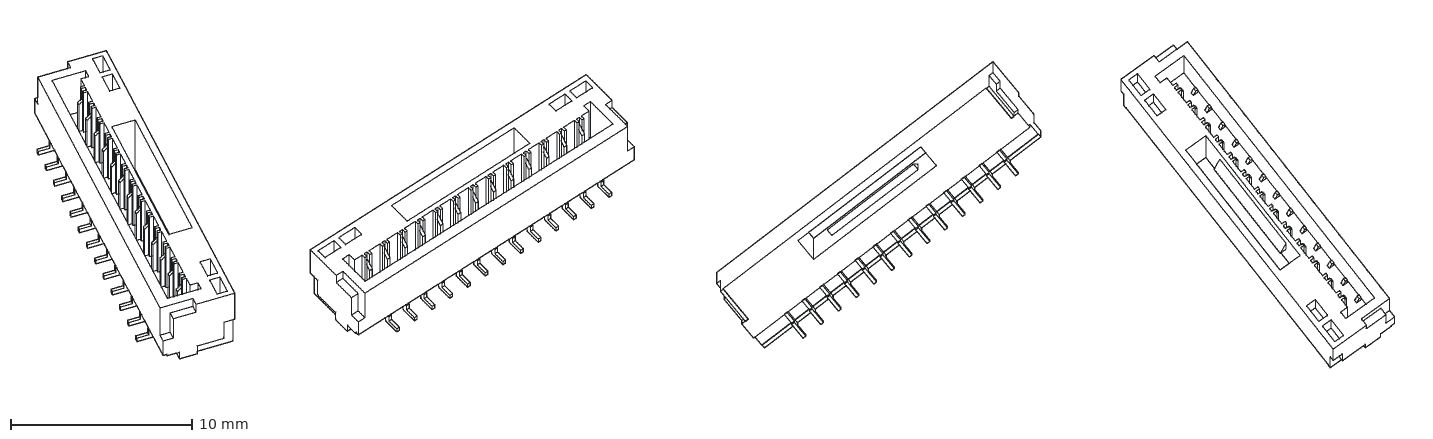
import cadquery as cq

length = 19.5
depth = 4.25
top = 4.2
standoff = 0.12
half_length = length / 2

relief_depth = 0.98
relief_top = 0.66
lip_depth = 0.23
lip_top = 0.78

cavity_floor = 0.98
end_wall = 1.0
front_wall = 0.65
cavity_back = 2.16
key_width = 0.47
key_back = 2.63

window_width = 8.65
window_front = 2.45
window_back = 3.85
catch_width = 6.08
catch_depth = 0.4
catch_top = 3.12
catch_height = 1.07

pocket_width = 1.13
pocket_depth_y = 0.6
pocket_back = 3.92
pocket_drop = 1.56
pocket_offset = 0.3
pocket_pitch = 1.46

notch_depth = 0.47
upper_notch_back = 1.95
upper_notch_floor = 3.55
upper_notch_leg = 0.6
upper_notch_bottom = 1.97
lower_notch_front = 2.03
lower_notch_ceiling = 0.76
lower_notch_leg = 0.65
lower_notch_top = 2.07
tab_thickness = 0.2

pin_count = 13
pin_row_length = 15.0
pin_pitch = pin_row_length / (pin_count - 1)
pin_width = 0.2
foot_reach = 0.7
foot_height = 0.3
foot_heel = 0.31
shank_bottom = 0.25
shank_embed = 0.2
post_depth = 0.47
post_top = 3.55
post_chamfer = 0.4
stub_clearance = 0.05
stub_depth = 0.31
stub_height = 0.45
stub_ramp = 0.18

tooth_pair_width = 0.49
tooth_depth = 0.23


def box(x_range, y_range, z_range):
    """Axis-aligned box between the given limits."""
    (x0, x1), (y0, y1), (z0, z1) = x_range, y_range, z_range
    return cq.Workplane("XY").box(x1 - x0, y1 - y0, z1 - z0, centered=False).translate((x0, y0, z0))


def centered_box(x_center, width, y_range, z_range):
    """Axis-aligned box centered on x_center along X."""
    return box((x_center - width / 2, x_center + width / 2), y_range, z_range)


def side_profile(points, x_start, width):
    """Extrude a closed (Y, Z) outline along +X from x_start."""
    return cq.Workplane("YZ").polyline(points).close().extrude(width).translate((x_start, 0, 0))


def both_ends(solid):
    """The solid together with its mirror image at the other end."""
    return solid.union(solid.mirror("YZ"))


def make_block():
    """Housing block with the stepped relief along its lower front edge."""
    outline = [
        (0, lip_top),
        (lip_depth, lip_top),
        (lip_depth, relief_top),
        (relief_depth, relief_top),
        (relief_depth, standoff),
        (depth, standoff),
        (depth, top),
        (0, top),
    ]
    return side_profile(outline, -half_length, length)


def make_cavity():
    """Mating cavity with a keyway at each end of its back wall."""
    height = (cavity_floor, top)
    cavity_end = -half_length + end_wall
    main = centered_box(0, length - 2 * end_wall, (front_wall, cavity_back), height)
    keyway = box((cavity_end, cavity_end + key_width), (front_wall, key_back), height)
    return main.union(both_ends(keyway))


def make_window():
    """Through window for the latch, less the catch: a steep ramp widening downward."""
    opening = centered_box(0, window_width, (window_front, window_back), (0, top))
    ramp = [
        (window_front, catch_top),
        (window_front + catch_depth, catch_top - catch_height),
        (window_front, catch_top - catch_height),
    ]
    catch = side_profile(ramp, -catch_width / 2, catch_width)
    return opening.cut(catch)


def make_pockets():
    pockets = cq.Workplane("XY")
    for index in range(2):
        start = -half_length + pocket_offset + index * pocket_pitch
        pocket = box(
            (start, start + pocket_width),
            (pocket_back - pocket_depth_y, pocket_back),
            (top - pocket_drop, top),
        )
        pockets = pockets.add(both_ends(pocket))
    return pockets.combine()


def make_upper_notches():
    outline = [
        (0, top),
        (upper_notch_back, top),
        (upper_notch_back, upper_notch_floor),
        (upper_notch_leg, upper_notch_floor),
        (upper_notch_leg, upper_notch_bottom),
        (0, upper_notch_bottom),
    ]
    return both_ends(side_profile(outline, -half_length, notch_depth))


def lower_notch_outline(bottom):
    """L outline around the lower back edge, shared by the notch and the solder tab."""
    return [
        (lower_notch_front, bottom),
        (depth, bottom),
        (depth, lower_notch_top),
        (depth - lower_notch_leg, lower_notch_top),
        (depth - lower_notch_leg, lower_notch_ceiling),
        (lower_notch_front, lower_notch_ceiling),
    ]


def make_lower_notches():
    return both_ends(side_profile(lower_notch_outline(standoff), -half_length, notch_depth))


def make_solder_tabs():
    """Tabs lying against the lower notches and reaching down to the board."""
    tab_start = -half_length + notch_depth - tab_thickness
    return both_ends(side_profile(lower_notch_outline(0), tab_start, tab_thickness))


def make_teeth(x):
    """Two guide teeth with a gap of one pin width between them."""
    y_range = (cavity_back - tooth_depth, cavity_back)
    z_range = (cavity_floor, top)
    gap = centered_box(x, pin_width, y_range, z_range)
    return centered_box(x, tooth_pair_width, y_range, z_range).cut(gap)


def make_contact(x):
    """Contact post, ramped stub at the cavity front and Z-shaped solder leg."""
    post_front = cavity_back - post_depth
    stub_front = front_wall + stub_clearance
    stub_back = stub_front + stub_depth
    stub_top = cavity_floor + stub_height
    post = [
        (cavity_back, cavity_floor),
        (cavity_back, post_top),
        (post_front + post_chamfer, post_top),
        (post_front, post_top - post_chamfer),
        (post_front, cavity_floor),
    ]
    stub = [
        (stub_front, cavity_floor),
        (stub_front, stub_top),
        (stub_back - stub_ramp, stub_top),
        (stub_back, cavity_floor),
    ]
    leg = [
        (-foot_reach, 0),
        (-foot_reach, foot_height),
        (0, foot_height),
        (0, relief_top),
        (relief_depth + shank_embed, relief_top),
        (relief_depth + shank_embed, shank_bottom),
        (foot_heel, shank_bottom),
        (foot_heel, 0),
    ]
    start = x - pin_width / 2
    return [side_profile(outline, start, pin_width) for outline in (post, stub, leg)]


housing = make_block().cut(make_cavity()).cut(make_window()).cut(make_pockets())
housing = housing.cut(make_upper_notches()).cut(make_lower_notches()).union(make_solder_tabs())

for pin in range(pin_count):
    pin_x = -pin_row_length / 2 + pin * pin_pitch
    housing = housing.union(make_teeth(pin_x))
    for contact_piece in make_contact(pin_x):
        housing = housing.union(contact_piece)

result = housing